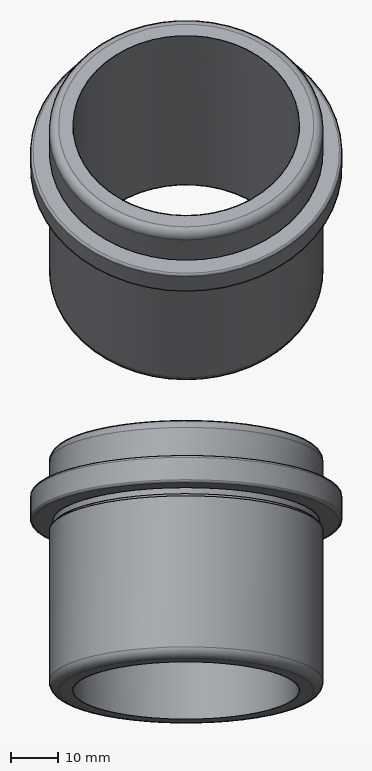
import cadquery as cq

flange_diameter = 66.0
body_diameter = 58.0
bore_diameter = 48.0
groove_diameter = 56.6
height = 52.0
flange_thickness = 5.95
collar_height = 9.05
groove_width = 1.3
groove_chamfer = 0.65
end_radius = 2.0
flange_edge_radius = 0.5

body_radius = body_diameter / 2
flange_top = height - collar_height
flange_bottom = flange_top - flange_thickness
groove_bottom = flange_bottom - groove_width


def cylinder(diameter, bottom, top):
    """Solid cylinder about Z between two heights."""
    return cq.Workplane("XY").workplane(offset=bottom).circle(diameter / 2).extrude(top - bottom)


def rounded_body():
    """Main tube blank with both outer end edges rounded."""
    return cylinder(body_diameter, 0, height).faces("<Z or >Z").edges().fillet(end_radius)


def flange():
    """Locating flange with both rims rounded."""
    return cylinder(flange_diameter, flange_bottom, flange_top).edges().fillet(flange_edge_radius)


def relief_groove():
    """Ring cut below the flange, with a sloping lower wall."""
    groove_radius = groove_diameter / 2
    return (
        cq.Workplane("XZ")
        .moveTo(groove_radius, flange_bottom)
        .lineTo(groove_radius, groove_bottom)
        .lineTo(body_radius, groove_bottom - groove_chamfer)
        .lineTo(body_radius, flange_bottom)
        .close()
        .revolve(360, (0, 0, 0), (0, 1, 0))
    )


bore = cylinder(bore_diameter, 0, height)
result = rounded_body().cut(relief_groove()).union(flange()).cut(bore)